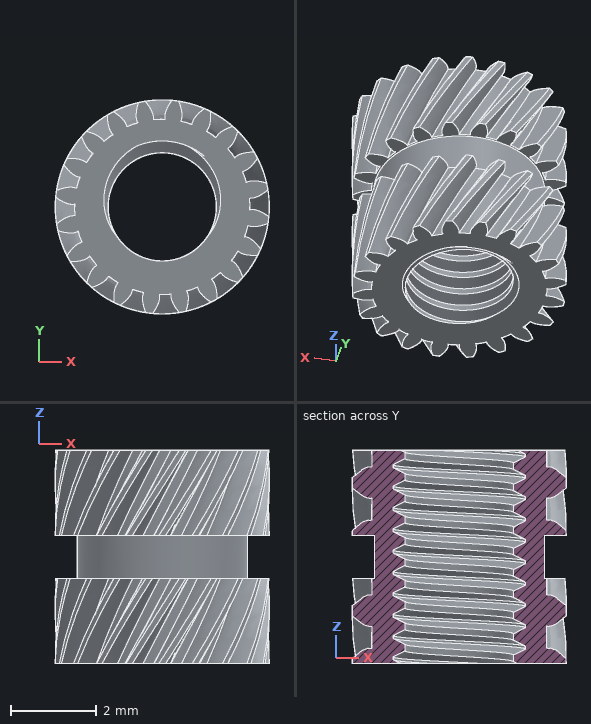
import math

import cadquery as cq

outer_diameter = 5.02
band_height = 2.0
neck_height = 1.0
neck_diameter = 4.0
total_height = 2 * band_height + neck_height

tooth_count = 20
pressure_angle = math.radians(20)
helix_angle = math.radians(30)
module = outer_diameter / (tooth_count + 2)
tip_radius = outer_diameter / 2
pitch_radius = tip_radius - module
root_radius = pitch_radius - module
base_radius = pitch_radius * math.cos(pressure_angle)
tooth_pitch = 2 * math.pi / tooth_count
band_twist = band_height * math.tan(helix_angle) / pitch_radius
flank_segments = 4

thread_pitch = 0.5
minor_diameter = 2.53
major_diameter = 3.09
thread_root_width = thread_pitch / 8
thread_mouth_width = thread_pitch * 11 / 16
thread_depth = (major_diameter - minor_diameter) / 2
thread_top_angle = 90.0
cutter_overlap = 0.05
groove_overrun = 0.35


def involute(angle):
    """Polar angle of an involute at a pressure angle."""
    return math.tan(angle) - angle


def polar(radius, angle):
    """Point in the XY plane."""
    return (radius * math.cos(angle), radius * math.sin(angle))


def half_tooth_angle(radius):
    """Half of a tooth's angular width at a radius on its involute flank."""
    local_pressure_angle = math.acos(base_radius / radius)
    return tooth_pitch / 4 + involute(pressure_angle) - involute(local_pressure_angle)


def gear_outline():
    """Closed outline of all teeth: radial roots below the base circle, involute flanks above it."""
    flank_radii = [
        base_radius + (tip_radius - base_radius) * (i / flank_segments) ** 2
        for i in range(flank_segments + 1)
    ]
    half_angles = [half_tooth_angle(radius) for radius in flank_radii]
    half_root_angle = half_angles[0]

    outline = cq.Workplane("XY").moveTo(*polar(root_radius, -half_root_angle))
    for tooth in range(tooth_count):
        centre = tooth * tooth_pitch
        rising = [polar(r, centre - a) for r, a in zip(flank_radii, half_angles)]
        falling = [polar(r, centre + a) for r, a in zip(flank_radii, half_angles)]
        falling.reverse()
        gap_middle = polar(root_radius, centre + tooth_pitch / 2)
        next_root = polar(root_radius, centre + tooth_pitch - half_root_angle)
        outline = (
            outline.lineTo(*rising[0])
            .spline(rising[1:], includeCurrent=True)
            .threePointArc(polar(tip_radius, centre), falling[0])
            .spline(falling[1:], includeCurrent=True)
            .lineTo(*polar(root_radius, centre + half_root_angle))
            .threePointArc(gap_middle, next_root)
        )
    return outline.close()


def knurled_band():
    """One gear ring around the core, with a tooth centred on +X at its lower face."""
    gear = gear_outline().twistExtrude(band_height, math.degrees(band_twist))
    core_space = cq.Workplane("XY").circle(neck_diameter / 2).extrude(band_height)
    return gear.cut(core_space)


def thread_groove():
    """Trapezoidal cutter swept along the thread helix, longer than the part at both ends."""
    inner_radius = minor_diameter / 2 - cutter_overlap
    flank_slope = (thread_mouth_width - thread_root_width) / 2 / thread_depth
    half_root = thread_root_width / 2
    half_mouth = thread_mouth_width / 2 + cutter_overlap * flank_slope
    start_z = -groove_overrun
    helix_length = total_height + 2 * groove_overrun

    helix = cq.Wire.makeHelix(thread_pitch, helix_length, minor_diameter / 2)
    profile = cq.Workplane("XZ").polyline(
        [
            (inner_radius, -half_mouth),
            (major_diameter / 2, -half_root),
            (major_diameter / 2, half_root),
            (inner_radius, half_mouth),
        ]
    ).close()
    groove = profile.sweep(helix, isFrenet=True)
    start_angle = thread_top_angle - 360 * (total_height - start_z) / thread_pitch
    return groove.translate((0, 0, start_z)).rotate((0, 0, 0), (0, 0, 1), start_angle)


def threaded_core():
    """Full-height sleeve, as wide as the neck, with the thread through it."""
    sleeve = cq.Workplane("XY").circle(neck_diameter / 2).extrude(total_height)
    bore = cq.Workplane("XY").circle(minor_diameter / 2).extrude(total_height)
    return sleeve.cut(thread_groove()).cut(bore)


lower_band = knurled_band()
upper_band = lower_band.translate((0, 0, band_height + neck_height))
result = threaded_core().union(lower_band).union(upper_band).solids()